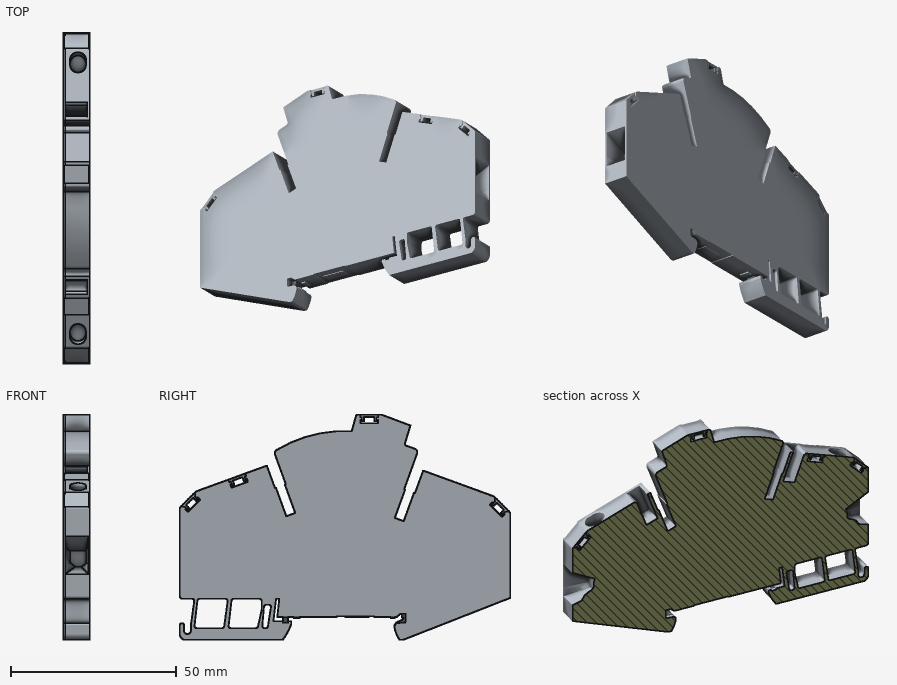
import cadquery as cq
import math

WIDTH = 8.1
COVER_THICKNESS = 0.6
HALF_LENGTH = 50.0
HEIGHT = 68.1
SLOPE = 20.0
TAN_SLOPE = math.tan(math.radians(SLOPE))
HOUSING_MID_X = (COVER_THICKNESS + WIDTH) / 2

WING_RISE = 1.5
WING_EDGE_Z = 38.4
END_CHAMFER = 5.0
WING_TIP_Y = 23.6
ROOF_START_Y = HALF_LENGTH - END_CHAMFER
ROOF_START_Z = WING_EDGE_Z + END_CHAMFER
WING_TIP_Z = ROOF_START_Z + (ROOF_START_Y - WING_TIP_Y) * TAN_SLOPE

SLOT_Y = 16.4
SLOT_Z = 36.4
SLOT_HALF_WIDTH = 1.4
SLOT_UPPER_HALF_WIDTH = 1.7
SLOT_STEP_HEIGHT = 9.1

TOWER_LEDGE_Z = 63.1
TOWER_SHOULDER = (22.2, 57.4)
TOWER_NOTCH = (18.0, 58.9)
TOWER_CREST = (3.4, HEIGHT)
TOWER_ARC_MID = (-12.4, 61.2)
TOWER_ARC_END = (-21.5, 56.9)

RAIL_Z = 6.9
HOOK_GAP_Z = 7.9
HOOK_GAP_LOW = (15.6, RAIL_Z)
HOOK_GAP_HIGH = (16.8, HOOK_GAP_Z)
HOOK_CORNER = (18.3, 5.2)
BODY_BOTTOM_Z = 12.4
PLUS_Y_END_BOTTOM_Z = 12.7
LAST_BEAM_ROOT = (-45.5, BODY_BOTTOM_Z)
FOOT_TOP_Z = 5.7
FOOT_SLAB_Z = 3.6
WINDOW_FILLET = 0.6
RECESS_Y = (8.9, -2.5)
RECESS_Z = 7.1

CONTACT_WIDTH = 3.0
CONTACT_TOP_Z = 9.5
CONTACT_BOTTOM_Z = 4.4
CONTACT_BACK_Y = 18.9
PAD_Z = 6.5
TAB_Y = (-17.2, -18.8)
TAB_BOTTOM_Z = 5.2

MARKER_X = 0.3
TOWER_MARKER_Y = 7.3
ROOF_MARKER_Y = 32.7
MARKER_WIDTH = 7.5
MARKER_PLATE = 0.8
MARKER_LENGTH = 5.4
END_MARKER_LENGTH = 6.2
LEG_OUTER = 2.2
LEG_INNER = 1.5
LEG_DEPTH = 2.1
POCKET_HALF_LENGTH = 2.6
POCKET_NECK_DEPTH = 1.6
POCKET_DEPTH = 2.6

SCREW_HOLE_Y = 40.5
SCREW_HOLE_X = 4.5
SCREW_HOLE_DIAMETER = 4.9
SCREW_HOLE_DEPTH = 4.0
SCREW_LEAD_SHIFT = 1.3
BRIDGE_INNER_Y = 24.7
BRIDGE_LENGTH = 3.9
BRIDGE_LEAD = 0.7
BRIDGE_WIDTH = 6.7
BRIDGE_DEPTH = 10.0
FUNNEL_DEPTH = 8.0
FUNNEL_MOUTH = [
    (-4.0, 29.8), (7.6, 29.8), (7.6, 21.6), (7.6, 18.4), (COVER_THICKNESS, 18.4), (COVER_THICKNESS, 22.0),
]
FUNNEL_FLOOR = [(2.1, 25.4), (7.0, 25.4), (6.9, 21.6), (5.5, 20.6), (3.7, 20.6), (2.1, 21.9)]


def wing_point(side, y, z):
    """Point of the +Y wing (side = 1) or its raised mirror image (side = -1)."""
    return (side * y, z if side > 0 else z + WING_RISE)


def roof_z(y):
    """Height of the +Y wing roof at a given Y."""
    return ROOF_START_Z + (ROOF_START_Y - y) * TAN_SLOPE


def extrude_yz(sketch, x_start, thickness):
    """Extrude a closed YZ outline along +X and shift it to x_start."""
    return sketch.close().extrude(thickness).translate((x_start, 0, 0))


def prism(points, x_start, thickness):
    return extrude_yz(cq.Workplane("YZ").polyline(points), x_start, thickness)


def place_on_surface(tool, point, lean):
    """Turn a tool built around the origin by lean degrees about X and move it to a YZ point."""
    return tool.rotate((0, 0, 0), (1, 0, 0), lean).translate((0, point[0], point[1]))


def slot_walls(side):
    """Stepped slot corners, from the wing wall down, over the floor and up the tower wall."""
    tilt = math.radians(SLOPE)

    def corner(across, along):
        y = SLOT_Y + across * math.cos(tilt) + along * math.sin(tilt)
        z = SLOT_Z - across * math.sin(tilt) + along * math.cos(tilt)
        return wing_point(side, y, z)

    return [
        corner(SLOT_UPPER_HALF_WIDTH, SLOT_STEP_HEIGHT),
        corner(SLOT_HALF_WIDTH, SLOT_STEP_HEIGHT),
        corner(SLOT_HALF_WIDTH, 0),
        corner(-SLOT_HALF_WIDTH, 0),
        corner(-SLOT_HALF_WIDTH, SLOT_STEP_HEIGHT),
        corner(-SLOT_UPPER_HALF_WIDTH, SLOT_STEP_HEIGHT),
    ]


def wing_roof(side):
    """Wing outline from its end face up to the tip beside the slot."""
    return [
        wing_point(side, HALF_LENGTH, WING_EDGE_Z),
        wing_point(side, ROOF_START_Y, ROOF_START_Z),
        wing_point(side, WING_TIP_Y, WING_TIP_Z),
    ]


def block_profile():
    """Closed side outline shared by the cover and the housing."""
    plus_y_side = [(HALF_LENGTH, PLUS_Y_END_BOTTOM_Z)] + wing_roof(1) + slot_walls(1)
    tower = [
        TOWER_SHOULDER,
        TOWER_NOTCH,
        (19.8, 64.8),
        (11.0, HEIGHT),
        TOWER_CREST,
        (2.0, TOWER_LEDGE_Z),
    ]
    minus_y_side = slot_walls(-1)[::-1] + wing_roof(-1)[::-1]
    minus_y_side.append((-HALF_LENGTH, BODY_BOTTOM_Z))
    outline = cq.Workplane("YZ").polyline(plus_y_side + tower)
    outline = outline.threePointArc(TOWER_ARC_MID, TOWER_ARC_END)
    for point in minus_y_side:
        outline = outline.lineTo(*point)
    outline = outline.lineTo(*LAST_BEAM_ROOT).lineTo(-46.6, 4.5).lineTo(-46.6, 2.7)
    outline = outline.threePointArc((-47.6, 1.8), (-48.6, 2.7)).lineTo(-48.6, 4.4)
    outline = outline.threePointArc((-49.3, 5.1), (-HALF_LENGTH, 4.4))
    outline = outline.lineTo(-HALF_LENGTH, 1.7)
    outline = outline.threePointArc((-49.5, 0.6), (-48.6, 0)).lineTo(-18.8, 0)
    outline = outline.threePointArc((-17.3, 2.3), (-16.2, 4.8)).lineTo(-16.2, FOOT_TOP_Z)
    outline = outline.lineTo(-21.6, FOOT_TOP_Z).lineTo(-20.8, BODY_BOTTOM_Z)
    outline = outline.lineTo(-19.9, BODY_BOTTOM_Z).lineTo(-20.5, RAIL_Z)
    outline = outline.lineTo(RECESS_Y[1], RAIL_Z).lineTo(RECESS_Y[1], RECESS_Z)
    outline = outline.lineTo(RECESS_Y[0], RECESS_Z).lineTo(RECESS_Y[0], RAIL_Z)
    outline = outline.lineTo(*HOOK_GAP_LOW).lineTo(*HOOK_GAP_HIGH).lineTo(HOOK_CORNER[0], HOOK_GAP_Z)
    outline = outline.lineTo(*HOOK_CORNER).lineTo(16.0, 5.1)
    outline = outline.threePointArc((15.2, 4.7), (14.9, 3.9))
    outline = outline.threePointArc((15.5, 1.8), (16.5, 0)).lineTo(17.6, 0)
    return outline


def foot_windows(x_start, thickness):
    """Three openings that leave slanted beams between the body and the foot."""
    windows = [
        [(-22.3, 10.6), (-24.4, 10.6), (-25.0, FOOT_SLAB_Z), (-23.4, FOOT_SLAB_Z)],
        [(-25.2, BODY_BOTTOM_Z), (-34.2, BODY_BOTTOM_Z), (-35.2, FOOT_SLAB_Z),
         (-26.4, FOOT_SLAB_Z), (-25.2, 9.2)],
        [(-35.4, BODY_BOTTOM_Z), (-44.5, BODY_BOTTOM_Z), (-45.5, FOOT_SLAB_Z),
         (-36.6, FOOT_SLAB_Z)],
    ]
    tools = [prism(points, x_start, thickness).edges("|X").fillet(WINDOW_FILLET) for points in windows]
    return tools[0].union(tools[1]).union(tools[2])


def tab_notch(x_start, thickness):
    """Notch in the top of the foot below the contact tab."""
    front, back = TAB_Y
    corners = [(front, FOOT_TOP_Z), (back, FOOT_TOP_Z), (back, TAB_BOTTOM_Z), (front, TAB_BOTTOM_Z)]
    return prism(corners, x_start, thickness)


def marker_seats():
    """(surface point, lean about X, plate length, end taper) of the four markers."""
    bevel_mid = END_CHAMFER / 2
    plus_end = wing_point(1, HALF_LENGTH - bevel_mid, WING_EDGE_Z + bevel_mid)
    minus_end = wing_point(-1, HALF_LENGTH - bevel_mid, WING_EDGE_Z + bevel_mid)
    roof = wing_point(-1, ROOF_MARKER_Y, roof_z(ROOF_MARKER_Y))
    return [
        (plus_end, -45, END_MARKER_LENGTH, MARKER_PLATE),
        ((TOWER_MARKER_Y, HEIGHT), 0, MARKER_LENGTH, 0),
        (roof, SLOPE, MARKER_LENGTH, 0),
        (minus_end, 45, END_MARKER_LENGTH, MARKER_PLATE),
    ]


def marker_plate_points(length, taper):
    half = length / 2
    return [(-half, 0), (half, 0), (half - taper, -MARKER_PLATE), (-half + taper, -MARKER_PLATE)]


def marker(point, lean, length, taper):
    """Label plate with two snap legs."""
    body = prism(marker_plate_points(length, taper), MARKER_X, MARKER_WIDTH)
    for side in (1, -1):
        leg = [
            (side * LEG_INNER, -MARKER_PLATE),
            (side * LEG_OUTER, -MARKER_PLATE),
            (side * LEG_OUTER, -LEG_DEPTH),
            (side * LEG_INNER, -LEG_DEPTH),
        ]
        body = body.union(prism(leg, MARKER_X, MARKER_WIDTH))
    return place_on_surface(body, point, lean)


def marker_pocket(point, lean, length, taper):
    """Undercut channel through the whole width that holds one marker."""
    pocket = prism(marker_plate_points(length, taper), 0, WIDTH)
    for half, top, bottom in (
        (LEG_OUTER, MARKER_PLATE, POCKET_NECK_DEPTH),
        (POCKET_HALF_LENGTH, POCKET_NECK_DEPTH, POCKET_DEPTH),
    ):
        section = [(-half, -top), (half, -top), (half, -bottom), (-half, -bottom)]
        pocket = pocket.union(prism(section, 0, WIDTH))
    return place_on_surface(pocket, point, lean)


def rail_contact():
    """Strip behind the rail face with a lining in the hook, bearing pads and a tab at the foot."""
    points = [
        (CONTACT_BACK_Y, CONTACT_TOP_Z), (CONTACT_BACK_Y, CONTACT_BOTTOM_Z), (14.9, CONTACT_BOTTOM_Z),
        (15.5, 5.3), (17.2, 6.1), (17.7, 6.5), (17.1, 7.0), (17.1, HOOK_GAP_Z),
        HOOK_GAP_HIGH, HOOK_GAP_LOW, (15.1, RAIL_Z),
        (15.1, PAD_Z), (13.8, PAD_Z), (13.8, RAIL_Z),
        (RECESS_Y[0], RAIL_Z), (RECESS_Y[0], RECESS_Z), (7.2, RECESS_Z), (7.2, RAIL_Z),
        (0, RAIL_Z), (0, RECESS_Z), (RECESS_Y[1], RECESS_Z), (RECESS_Y[1], RAIL_Z),
        (-13.7, RAIL_Z), (-13.7, PAD_Z), (-15.5, PAD_Z), (-15.5, RAIL_Z),
        (TAB_Y[0], RAIL_Z), (TAB_Y[0], TAB_BOTTOM_Z), (TAB_Y[1], TAB_BOTTOM_Z), (TAB_Y[1], CONTACT_TOP_Z),
    ]
    return prism(points, HOUSING_MID_X - CONTACT_WIDTH / 2, CONTACT_WIDTH)


def screw_hole(side):
    """Upright screw hole with a lead-in square to the wing roof."""
    y, z = wing_point(side, SCREW_HOLE_Y, roof_z(SCREW_HOLE_Y))
    floor_z = z - SCREW_HOLE_DEPTH
    radius = SCREW_HOLE_DIAMETER / 2
    hole = cq.Workplane("XY").circle(radius).extrude(3 * SCREW_HOLE_DEPTH)
    hole = hole.translate((SCREW_HOLE_X, y, floor_z))
    lead_y = SCREW_HOLE_Y + SCREW_LEAD_SHIFT
    lead = cq.Workplane("XY").circle(radius).extrude(2 * SCREW_HOLE_DEPTH, both=True)
    lead = lead.translate((SCREW_HOLE_X, 0, 0))
    lead = place_on_surface(lead, wing_point(side, lead_y, roof_z(lead_y)), -side * SLOPE)
    above_floor = cq.Workplane("XY").box(WIDTH, HALF_LENGTH, HEIGHT, centered=(False, True, False))
    return hole.union(lead.intersect(above_floor.translate((0, y, floor_z))))


def bridge_pocket(side):
    """Deep pocket square to the wing roof, with a bevelled outer lip."""
    points = [
        (0, BRIDGE_LEAD),
        (side * (BRIDGE_LENGTH + 2 * BRIDGE_LEAD), BRIDGE_LEAD),
        (side * BRIDGE_LENGTH, -BRIDGE_LEAD),
        (side * BRIDGE_LENGTH, -BRIDGE_DEPTH),
        (0, -BRIDGE_DEPTH),
    ]
    tool = prism(points, COVER_THICKNESS, BRIDGE_WIDTH)
    mouth = wing_point(side, BRIDGE_INNER_Y, roof_z(BRIDGE_INNER_Y))
    return place_on_surface(tool, mouth, -side * SLOPE)


def wire_funnel(side):
    """Tapered wire entry in the end face of a wing."""
    rise = wing_point(side, 0, 0)[1]

    def section(points, y):
        return cq.Wire.makePolygon([cq.Vector(x, side * y, z + rise) for x, z in points], close=True)

    mouth = section(FUNNEL_MOUTH, HALF_LENGTH)
    floor = section(FUNNEL_FLOOR, HALF_LENGTH - FUNNEL_DEPTH)
    return cq.Workplane(cq.Solid.makeLoft([mouth, floor], True))


def block_plate(x_start, thickness):
    """Slice of the block profile with its rounded corners, foot windows and marker pockets."""
    plate = extrude_yz(block_profile(), x_start, thickness)
    mid_x = x_start + thickness / 2
    for (y, z), radius in (
        (TOWER_SHOULDER, 1.2),
        (TOWER_NOTCH, 0.6),
        (TOWER_CREST, 0.6),
        (TOWER_ARC_END, 1.2),
        ((-HALF_LENGTH, BODY_BOTTOM_Z), 0.9),
        (LAST_BEAM_ROOT, 0.6),
        (HOOK_CORNER, 0.4),
        *[(wing_point(side, HALF_LENGTH, WING_EDGE_Z), 0.8) for side in (1, -1)],
        *[(wing_point(side, ROOF_START_Y, ROOF_START_Z), 2.0) for side in (1, -1)],
    ):
        plate = plate.edges(cq.selectors.NearestToPointSelector((mid_x, y, z))).fillet(radius)
    plate = plate.cut(foot_windows(x_start, thickness)).cut(tab_notch(x_start, thickness))
    for seat in marker_seats():
        plate = plate.cut(marker_pocket(*seat))
    return plate


contact = rail_contact()
markers = [marker(*seat) for seat in marker_seats()]
cover = block_plate(0, COVER_THICKNESS)

housing = block_plate(COVER_THICKNESS, WIDTH - COVER_THICKNESS).cut(contact)
for wing_side in (1, -1):
    housing = housing.cut(screw_hole(wing_side))
    housing = housing.cut(bridge_pocket(wing_side))
    housing = housing.cut(wire_funnel(wing_side))

result = cq.Compound.makeCompound(
    [body.solids().val() for body in [cover, housing, contact, *markers]]
)